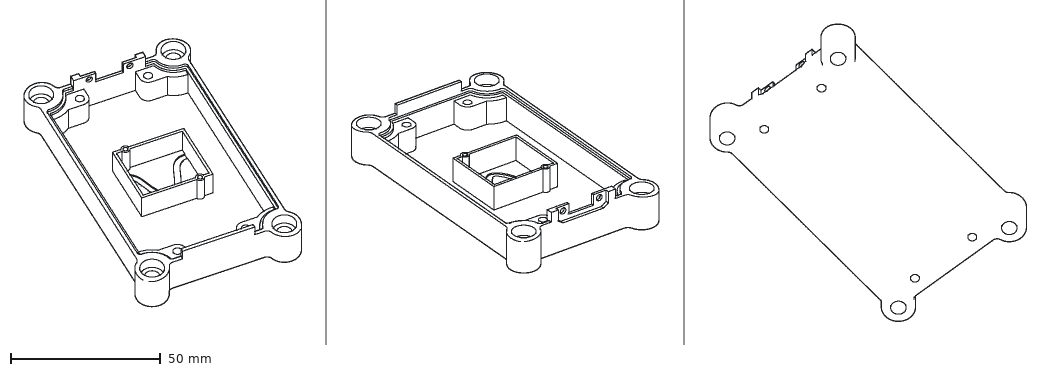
import cadquery as cq
import math

OVERALL_X = 99.8
OVERALL_Y = 60.3

BODY_X = 89.0
BODY_Y = 54.5
BODY_TOP = 13.1
FLOOR_TOP = 2.1
BOTTOM_ROUNDING = 0.7
SELECTION_MARGIN = 0.1

RIM_WIDTH = 1.3
LEDGE_WIDTH = 1
LEDGE_TOP = 12.1
LEDGE_CORNER_RADIUS = 1.2
CAVITY_CORNER_RADIUS = 0.3

BOSS_RADIUS = 5.8
BOSS_X = OVERALL_X / 2 - BOSS_RADIUS
BOSS_Y = OVERALL_Y / 2 - BOSS_RADIUS
BOSS_BLEND_RADIUS = 2
BOSS_WALL = 1.5
BOSS_HOLE_DIAMETER = 5.2
BOSS_BORE_DIAMETER = 8.3
BOSS_BORE_DEPTH = 4
BOSS_ROUNDING = 0.8
BOSS_ROUNDING_SHIFT = 0.7
BOSS_ROUNDING_CLEARANCE = 0.02

PAD_TOP = 11.1
PAD_HOLE_X = 38.8
PAD_HOLE_Y = 12.6
PAD_HOLE_DIAMETER = 3
PAD_MARGIN = 3.1
PAD_CURVE_RADIUS = 10.4

TAB_TOP = 16.8
TAB_LENGTH = 26.5

RECESS_LENGTH = 20.7
RECESS_BOTTOM = 11.1
RECESS_CORNER_Y = 2
RECESS_CORNER_Z = 1.3
WINDOW_LENGTH = 10.2
WINDOW_BOTTOM = 12.7
PIN_HOLE_DIAMETER = 2.3
PIN_HOLE_Y = 7.5
PIN_HOLE_Z = 14.8

FRAME_X = 23.2
FRAME_Y = 26.2
FRAME_WALL = 1
FRAME_TOP = 11.2
POST_DIAMETER = 3
POST_HOLE_DIAMETER = 1.6
POST_Y = 8.6

GROOVE_WIDTH = 2.2
GROOVE_DEPTH = 0.5
GROOVE_REACH = 7.5
GROOVE_MIDWAY_Y = 5.5

CORNERS = [(sx, sy) for sx in (-1, 1) for sy in (-1, 1)]
BOSS_CENTERS = [(sx * BOSS_X, sy * BOSS_Y) for sx, sy in CORNERS]
PAD_HOLES = [(sx * PAD_HOLE_X, sy * PAD_HOLE_Y) for sx, sy in CORNERS]
LEDGE_X = BODY_X - 2 * RIM_WIDTH
LEDGE_Y = BODY_Y - 2 * RIM_WIDTH
CAVITY_X = LEDGE_X - 2 * LEDGE_WIDTH
CAVITY_Y = LEDGE_Y - 2 * LEDGE_WIDTH
LEDGE_CURVE_RADIUS = BOSS_RADIUS + BOSS_WALL
CAVITY_CURVE_RADIUS = LEDGE_CURVE_RADIUS + LEDGE_WIDTH


def block(x0, x1, y0, y1, z0, z1):
    """Box between two opposite corners."""
    return cq.Workplane("XY").box(x1 - x0, y1 - y0, z1 - z0, centered=False).translate((x0, y0, z0))


def centered_block(length, width, z0, z1):
    """Box centered on the Z axis."""
    return block(-length / 2, length / 2, -width / 2, width / 2, z0, z1)


def cylinders(centers, diameter, z0, z1):
    """Equal upright cylinders at the given centers."""
    plane = cq.Workplane("XY", origin=(0, 0, z0))
    return plane.pushPoints(centers).circle(diameter / 2).extrude(z1 - z0)


def corner_relieved_block(length, width, curve_radius, z0, z1):
    """Block whose corners are cut away by arcs around the bosses."""
    corners = cylinders(BOSS_CENTERS, 2 * curve_radius, z0, z1)
    return centered_block(length, width, z0, z1).cut(corners)


def make_body():
    """Solid tray blank with blended corner bosses and a rounded bottom edge."""
    body = centered_block(BODY_X, BODY_Y, 0, BODY_TOP)
    body = body.union(cylinders(BOSS_CENTERS, 2 * BOSS_RADIUS, 0, BODY_TOP))
    far = (BODY_X / 2 + SELECTION_MARGIN, BODY_Y / 2 + SELECTION_MARGIN, BODY_TOP)
    near = (-far[0], -far[1], 0)
    boss_joints = body.edges("|Z").edges(cq.selectors.BoxSelector(near, far))
    body = boss_joints.fillet(BOSS_BLEND_RADIUS)
    return body.faces("<Z").edges().fillet(BOTTOM_ROUNDING)


def outward_half_disc(sx, sy, z0, z1):
    """Disc around one boss, kept to the side facing away from the tray."""
    reach = 2 * BOSS_RADIUS
    disc = cylinders([(0, 0)], reach + 2 * BOSS_ROUNDING, z0, z1)
    half = block(0, reach, -reach, reach, z0, z1)
    angle = math.degrees(math.atan2(sy, sx))
    half = half.rotate((0, 0, 0), (0, 0, 1), angle)
    return disc.intersect(half).translate((sx * BOSS_X, sy * BOSS_Y, 0))


def round_bosses(part):
    """Round the outward side of each boss top, fading out toward the tray body."""
    shift = BOSS_ROUNDING_SHIFT / math.sqrt(2)
    dome_diameter = 2 * (BOSS_RADIUS + BOSS_ROUNDING_SHIFT + BOSS_ROUNDING_CLEARANCE)
    base_z = BODY_TOP - 2 * BOSS_ROUNDING
    for sx, sy in CORNERS:
        center = (sx * (BOSS_X - shift), sy * (BOSS_Y - shift))
        dome = cylinders([center], dome_diameter, base_z, BODY_TOP)
        dome = dome.faces(">Z").edges().fillet(BOSS_ROUNDING)
        part = part.cut(outward_half_disc(sx, sy, base_z, BODY_TOP).cut(dome))
    return part


def make_cavity():
    """Stepped hollow of the tray: the space above the ledge and the cavity below it."""
    ledge = corner_relieved_block(LEDGE_X, LEDGE_Y, LEDGE_CURVE_RADIUS, LEDGE_TOP, BODY_TOP)
    ledge = ledge.edges("|Z").fillet(LEDGE_CORNER_RADIUS)
    cavity = corner_relieved_block(CAVITY_X, CAVITY_Y, CAVITY_CURVE_RADIUS, FLOOR_TOP, LEDGE_TOP)
    cavity = cavity.edges("|Z").fillet(CAVITY_CORNER_RADIUS)
    return ledge.union(cavity)


def make_pads():
    """Pads hugging the cavity corners, each with a rounded corner around its screw hole."""
    inner_x = PAD_HOLE_X - PAD_MARGIN
    inner_y = PAD_HOLE_Y - PAD_MARGIN
    wall_x = (CAVITY_X + LEDGE_WIDTH) / 2
    wall_y = (CAVITY_Y + LEDGE_WIDTH) / 2
    arm = block(inner_x, wall_x, inner_y, BOSS_Y, 0, PAD_TOP)
    arm = arm.edges("|Z and <X and <Y").fillet(PAD_MARGIN)
    curve = cylinders([(BOSS_X, BOSS_Y)], 2 * PAD_CURVE_RADIUS, 0, PAD_TOP)
    curve = curve.intersect(block(0, wall_x, 0, wall_y, 0, PAD_TOP))
    pad = arm.union(curve)
    pair = pad.union(pad.mirror("XZ"))
    return pair.union(pair.mirror("YZ"))


def make_tab_blank():
    """Solid tab on the -X wall, as thick as the rim and ledge together."""
    outer = -BODY_X / 2
    inner = outer + RIM_WIDTH + LEDGE_WIDTH
    return block(outer, inner, -TAB_LENGTH / 2, TAB_LENGTH / 2, RECESS_BOTTOM, TAB_TOP)


def cut_connector_tab(part):
    """Recess the outer face of the -X tab and cut its window and pin holes."""
    outer = -BODY_X / 2
    half = RECESS_LENGTH / 2
    recess = (
        cq.Workplane("YZ", origin=(outer, 0, 0))
        .moveTo(-half, TAB_TOP)
        .lineTo(-half, RECESS_BOTTOM + RECESS_CORNER_Z)
        .lineTo(-half + RECESS_CORNER_Y, RECESS_BOTTOM)
        .lineTo(half - RECESS_CORNER_Y, RECESS_BOTTOM)
        .lineTo(half, RECESS_BOTTOM + RECESS_CORNER_Z)
        .lineTo(half, TAB_TOP)
        .close()
        .extrude(RIM_WIDTH)
    )
    depth = RIM_WIDTH + LEDGE_WIDTH
    window = centered_block(2 * depth, WINDOW_LENGTH, WINDOW_BOTTOM, TAB_TOP).translate((outer, 0, 0))
    pins = (
        cq.Workplane("YZ", origin=(outer, 0, 0))
        .pushPoints([(-PIN_HOLE_Y, PIN_HOLE_Z), (PIN_HOLE_Y, PIN_HOLE_Z)])
        .circle(PIN_HOLE_DIAMETER / 2)
        .extrude(depth)
    )
    return part.cut(recess).cut(window).cut(pins)


def make_plain_tab():
    """Plain tab on the +X wall, as thick as the rim."""
    outer = BODY_X / 2
    return block(outer - RIM_WIDTH, outer, -TAB_LENGTH / 2, TAB_LENGTH / 2, LEDGE_TOP, TAB_TOP)


def make_frame():
    """Open rectangular frame with two screw posts set in opposite walls."""
    inner_x = FRAME_X - 2 * FRAME_WALL
    inner_y = FRAME_Y - 2 * FRAME_WALL
    frame = centered_block(FRAME_X, FRAME_Y, 0, FRAME_TOP)
    frame = frame.cut(centered_block(inner_x, inner_y, FLOOR_TOP, FRAME_TOP))
    post_x = (FRAME_X - FRAME_WALL) / 2
    posts = [(-post_x, -POST_Y), (post_x, POST_Y)]
    frame = frame.union(cylinders(posts, POST_DIAMETER, 0, FRAME_TOP))
    return frame.cut(cylinders(posts, POST_HOLE_DIAMETER, FLOOR_TOP, FRAME_TOP))


def make_groove():
    """Single wave across the floor of the frame, bulging toward +X in the middle."""
    half_y = FRAME_Y / 2 - FRAME_WALL
    path = cq.Workplane("XY").spline(
        [
            (-GROOVE_REACH, -half_y),
            (0, -GROOVE_MIDWAY_Y),
            (GROOVE_REACH, 0),
            (0, GROOVE_MIDWAY_Y),
            (-GROOVE_REACH, half_y),
        ],
        tangents=[(0, 1), (0, 1)],
    )
    section = cq.Workplane("XZ", origin=(-GROOVE_REACH, -half_y, FLOOR_TOP))
    return section.rect(GROOVE_WIDTH, 2 * GROOVE_DEPTH).sweep(path.translate((0, 0, FLOOR_TOP)))


bores_bottom = BODY_TOP - BOSS_BORE_DEPTH
result = (
    make_body()
    .cut(make_cavity())
    .union(make_pads())
    .union(make_tab_blank())
    .union(make_plain_tab())
    .union(make_frame())
    .cut(make_groove())
    .cut(cylinders(BOSS_CENTERS, BOSS_HOLE_DIAMETER, 0, BODY_TOP))
    .cut(cylinders(BOSS_CENTERS, BOSS_BORE_DIAMETER, bores_bottom, BODY_TOP))
    .cut(cylinders(PAD_HOLES, PAD_HOLE_DIAMETER, 0, PAD_TOP))
)
result = round_bosses(cut_connector_tab(result))